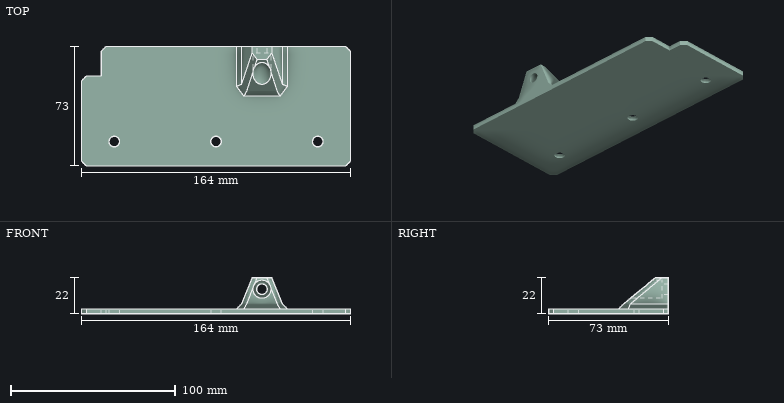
import cadquery as cq

PLATE_LENGTH = 164.0
PLATE_WIDTH = 73.0
PLATE_THICKNESS = 3.0
CORNER_CHAMFER = 3.0
NOTCH_LENGTH = 12.0
NOTCH_WIDTH = 18.0

HOLE_DIAMETER = 6.3
HOLE_PITCH = 62.0
HOLE_COUNT = 3
FIRST_HOLE_X = 20.0
HOLE_ROW_Y = 15.0

LUG_CENTER_X = 110.0
TOTAL_HEIGHT = 22.0
LUG_TOP_HALF_WIDTH = 6.0
LUG_TOP_DEPTH = 8.0
LUG_WAIST_HALF_WIDTH = 12.5
LUG_WAIST_DEPTH = 27.4
FOOT_FLARE = 3.0
LUG_WAIST_Z = PLATE_THICKNESS + FOOT_FLARE
LUG_FOOT_HALF_WIDTH = LUG_WAIST_HALF_WIDTH + FOOT_FLARE
LUG_FOOT_DEPTH = LUG_WAIST_DEPTH + FOOT_FLARE

TOP_BEVEL_X = 3.0
BEVEL_RATIO = 4.0 / 3.0
FOOT_BEVEL_X = 4.5
BEVEL_OVERHANG = 3.0

SCREW_Z = 15.0
SCREW_DIAMETER = 6.3
COUNTERBORE_DIAMETER = 11.0
COUNTERBORE_WEB = 4.0


def make_plate():
    """Plate with one notched corner, bevelled outer corners and a row of holes."""
    plate = cq.Workplane("XY").box(PLATE_LENGTH, PLATE_WIDTH, PLATE_THICKNESS, centered=False)
    notch = (
        cq.Workplane("XY")
        .box(NOTCH_LENGTH, NOTCH_WIDTH, PLATE_THICKNESS, centered=False)
        .translate((0, PLATE_WIDTH - NOTCH_WIDTH, 0))
    )
    notch_inner_corner = (NOTCH_LENGTH, PLATE_WIDTH - NOTCH_WIDTH, PLATE_THICKNESS / 2)
    inner_edge = cq.selectors.NearestToPointSelector(notch_inner_corner)
    outer_edges = cq.selectors.SubtractSelector(cq.StringSyntaxSelector("|Z"), inner_edge)
    hole_centers = [(FIRST_HOLE_X + i * HOLE_PITCH, HOLE_ROW_Y) for i in range(HOLE_COUNT)]
    holes = (
        cq.Workplane("XY")
        .pushPoints(hole_centers)
        .circle(HOLE_DIAMETER / 2)
        .extrude(PLATE_THICKNESS)
    )
    return plate.cut(notch).edges(outer_edges).chamfer(CORNER_CHAMFER).cut(holes)


def make_lug_blank():
    """Common volume of the lug's front outline and its side outline."""
    front_outline = [
        (LUG_CENTER_X - LUG_FOOT_HALF_WIDTH, PLATE_THICKNESS),
        (LUG_CENTER_X + LUG_FOOT_HALF_WIDTH, PLATE_THICKNESS),
        (LUG_CENTER_X + LUG_WAIST_HALF_WIDTH, LUG_WAIST_Z),
        (LUG_CENTER_X + LUG_TOP_HALF_WIDTH, TOTAL_HEIGHT),
        (LUG_CENTER_X - LUG_TOP_HALF_WIDTH, TOTAL_HEIGHT),
        (LUG_CENTER_X - LUG_WAIST_HALF_WIDTH, LUG_WAIST_Z),
    ]
    side_outline = [
        (PLATE_WIDTH, PLATE_THICKNESS),
        (PLATE_WIDTH, TOTAL_HEIGHT),
        (PLATE_WIDTH - LUG_TOP_DEPTH, TOTAL_HEIGHT),
        (PLATE_WIDTH - LUG_WAIST_DEPTH, LUG_WAIST_Z),
        (PLATE_WIDTH - LUG_FOOT_DEPTH, PLATE_THICKNESS),
    ]
    front_prism = cq.Workplane("XZ").polyline(front_outline).close().extrude(-PLATE_WIDTH)
    side_prism = cq.Workplane("YZ").polyline(side_outline).close().extrude(PLATE_LENGTH)
    return front_prism.intersect(side_prism)


def bevel_triangle(half_width, depth, bevel_x):
    """Right triangle whose long side lies on the bevel of the right front corner."""
    reach_x = BEVEL_OVERHANG
    reach_y = BEVEL_OVERHANG * BEVEL_RATIO
    corner_x = LUG_CENTER_X + half_width
    corner_y = PLATE_WIDTH - depth
    return [
        (corner_x + reach_x, corner_y - reach_y),
        (corner_x + reach_x, corner_y + bevel_x * BEVEL_RATIO + reach_y),
        (corner_x - bevel_x - reach_x, corner_y - reach_y),
    ]


def make_bevel_cutters():
    """Wedges that bevel the left and right front corners of the lug."""
    foot_triangle = bevel_triangle(LUG_FOOT_HALF_WIDTH, LUG_FOOT_DEPTH, FOOT_BEVEL_X)
    top_triangle = bevel_triangle(LUG_TOP_HALF_WIDTH, LUG_TOP_DEPTH, TOP_BEVEL_X)
    right_cutter = (
        cq.Workplane("XY", origin=(0, 0, PLATE_THICKNESS))
        .polyline(foot_triangle)
        .close()
        .workplane(offset=TOTAL_HEIGHT - PLATE_THICKNESS)
        .polyline(top_triangle)
        .close()
        .loft(ruled=True)
    )
    left_cutter = right_cutter.mirror("YZ", (LUG_CENTER_X, 0, 0))
    return right_cutter.union(left_cutter)


def bore_along_y(diameter, back_y):
    """Cylinder on the screw axis from back_y forward, as long as the plate is wide."""
    return (
        cq.Workplane("XZ", origin=(LUG_CENTER_X, back_y, SCREW_Z))
        .circle(diameter / 2)
        .extrude(PLATE_WIDTH)
    )


def make_lug():
    """Bevelled lug with its counterbored screw hole."""
    screw_hole = bore_along_y(SCREW_DIAMETER, PLATE_WIDTH)
    counterbore = bore_along_y(COUNTERBORE_DIAMETER, PLATE_WIDTH - COUNTERBORE_WEB)
    return make_lug_blank().cut(make_bevel_cutters()).cut(screw_hole).cut(counterbore)


result = make_plate().union(make_lug())